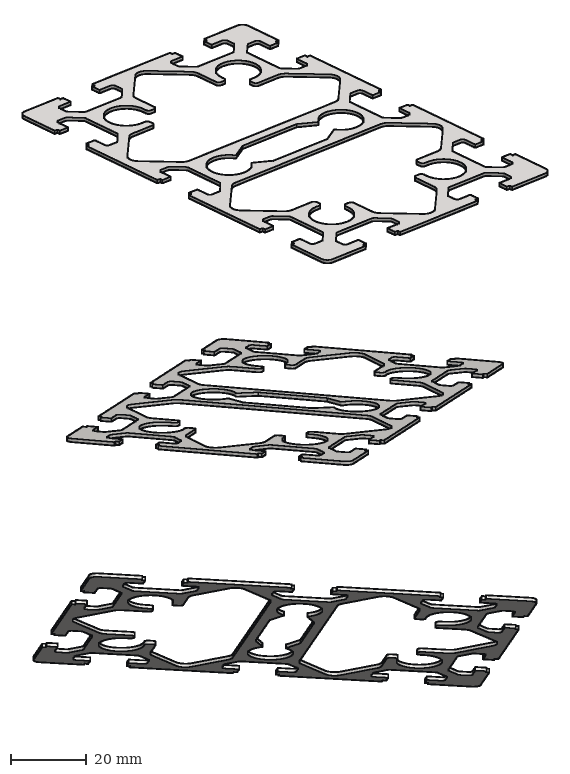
import cadquery as cq
import math

LENGTH = 120.0
GRID = LENGTH / 3
WIDTH = 2 * GRID
CELL_CENTER = GRID / 2
THICKNESS = 1.0
CORNER_RADIUS = 2.0

MOUTH_HALF = 6.1
MOUTH_DEPTH = 1.0
NECK_HALF = 5.2
LIP_DEPTH = 4.0
CHAMBER_HALF = 10.0
FLOOR_HALF = 6.5
SLOT_DEPTH = 11.0
CHAMBER_STRAIGHT_DEPTH = SLOT_DEPTH - (CHAMBER_HALF - FLOOR_HALF)
SLOT_FILLET = 1.0

BORE_RADIUS = 6.0

CAVITY_HALF = 11.0
APEX_DEPTH = 1.8
SHOULDER_DEPTH = APEX_DEPTH + CAVITY_HALF
CAVITY_FILLET = 3.0

FIN_LENGTH = 2.0
FIN_FILLET = 1.0

CHANNEL_HALF = BORE_RADIUS
FLARE_ANGLE = 60
CUSP_HALF = BORE_RADIUS / 2
CUSP_OFFSET = math.sqrt(BORE_RADIUS**2 - CUSP_HALF**2)
CUSP_FLARE = (CHANNEL_HALF - CUSP_HALF) * math.tan(math.radians(FLARE_ANGLE))
CUSP_FILLET = 0.4


def prism(points):
    return cq.Workplane("XY").polyline(points).close().extrude(THICKNESS)


def block(x_min, x_max, y_min, y_max):
    return prism([(x_min, y_min), (x_max, y_min), (x_max, y_max), (x_min, y_max)])


def bore(x, y):
    return cq.Workplane("XY").center(x, y).circle(BORE_RADIUS).extrude(THICKNESS)


def mirrored(shape):
    """Join a lower left feature with its mirror images in the other quadrants."""
    middle = (LENGTH / 2, WIDTH / 2, 0)
    both = shape.union(shape.mirror("YZ", middle))
    return both.union(both.mirror("XZ", middle))


def t_slot():
    """Slot that opens towards -Y through the line y = 0, centred on x = 0."""
    chamber = prism([
        (-CHAMBER_HALF, LIP_DEPTH),
        (CHAMBER_HALF, LIP_DEPTH),
        (CHAMBER_HALF, CHAMBER_STRAIGHT_DEPTH),
        (FLOOR_HALF, SLOT_DEPTH),
        (-FLOOR_HALF, SLOT_DEPTH),
        (-CHAMBER_HALF, CHAMBER_STRAIGHT_DEPTH),
    ]).edges("|Z").fillet(SLOT_FILLET)
    mouth = block(-MOUTH_HALF, MOUTH_HALF, 0, MOUTH_DEPTH)
    neck = block(-NECK_HALF, NECK_HALF, 0, SLOT_DEPTH)
    return chamber.union(mouth).union(neck)


def slots():
    """The slots of the lower left quadrant, including the one on the middle of the long side."""
    slot = t_slot()
    side_slot = slot.rotate((0, 0, 0), (0, 0, 1), -90).translate((0, CELL_CENTER, 0))
    return (
        side_slot
        .union(slot.translate((CELL_CENTER, 0, 0)))
        .union(slot.translate((LENGTH / 2, 0, 0)))
    )


def upright_cavity():
    """Six-sided cavity between two columns of cells, pointed at both ends."""
    left = GRID - CAVITY_HALF
    right = GRID + CAVITY_HALF
    return prism([
        (GRID, APEX_DEPTH),
        (right, SHOULDER_DEPTH),
        (right, WIDTH - SHOULDER_DEPTH),
        (GRID, WIDTH - APEX_DEPTH),
        (left, WIDTH - SHOULDER_DEPTH),
        (left, SHOULDER_DEPTH),
    ]).edges("|Z").fillet(CAVITY_FILLET)


def end_cavity():
    """Cavity between the two end cells, pointed at the short side and open to the upright cavity."""
    low = GRID - CAVITY_HALF
    high = GRID + CAVITY_HALF
    pointed_end = prism([
        (APEX_DEPTH, GRID),
        (SHOULDER_DEPTH, low),
        (GRID, low),
        (GRID, high),
        (SHOULDER_DEPTH, high),
    ])
    return pointed_end.edges("|Z").edges("not(>X)").fillet(CAVITY_FILLET)


def open_bore():
    """Bore of the lower left cell with the gap between the tips of its two fins."""
    fin_inside = CELL_CENTER + BORE_RADIUS
    fin_outside = GRID - CAVITY_HALF
    fin_tip = CELL_CENTER + FIN_LENGTH
    return (
        bore(CELL_CENTER, CELL_CENTER)
        .union(block(CELL_CENTER, fin_inside, CELL_CENTER, fin_inside))
        .union(block(fin_tip, fin_outside, fin_tip, fin_outside))
    )


def middle_channel():
    """Two bores joined by a channel that narrows to a cusp at each bore."""
    cusp_y = CELL_CENTER + CUSP_OFFSET
    wall_y = cusp_y + CUSP_FLARE
    right_side = [
        (CUSP_HALF, cusp_y),
        (CHANNEL_HALF, wall_y),
        (CHANNEL_HALF, WIDTH - wall_y),
        (CUSP_HALF, WIDTH - cusp_y),
    ]
    left_side = [(-x, y) for x, y in reversed(right_side)]
    channel = prism([(LENGTH / 2 + x, y) for x, y in right_side + left_side])
    for y in (CELL_CENTER, WIDTH - CELL_CENTER):
        channel = channel.union(bore(LENGTH / 2, y))
    return channel


def fillet_upright_edges(body, corners, radius):
    """Round the thickness-wise edges at the given points and at their mirror images."""
    reach = radius / 4
    for x, y in corners:
        for edge_x in (x, LENGTH - x):
            for edge_y in (y, WIDTH - y):
                box = cq.selectors.BoxSelector(
                    (edge_x - reach, edge_y - reach, 0),
                    (edge_x + reach, edge_y + reach, THICKNESS),
                )
                body = body.edges("|Z").edges(box).fillet(radius)
    return body


plate = block(0, LENGTH, 0, WIDTH).edges("|Z").fillet(CORNER_RADIUS)
plate = plate.cut(mirrored(slots()))
plate = plate.cut(mirrored(upright_cavity().union(end_cavity()).union(open_bore())))
plate = plate.cut(middle_channel())

tip = CELL_CENTER + FIN_LENGTH
tip_sides = (CELL_CENTER + BORE_RADIUS, GRID - CAVITY_HALF)
tip_corners = [(side, tip) for side in tip_sides] + [(tip, side) for side in tip_sides]
plate = fillet_upright_edges(plate, tip_corners, FIN_FILLET)
plate = fillet_upright_edges(plate, [(LENGTH / 2 - CUSP_HALF, CELL_CENTER + CUSP_OFFSET)], CUSP_FILLET)

result = plate.translate((-LENGTH / 2, -WIDTH / 2, 0))